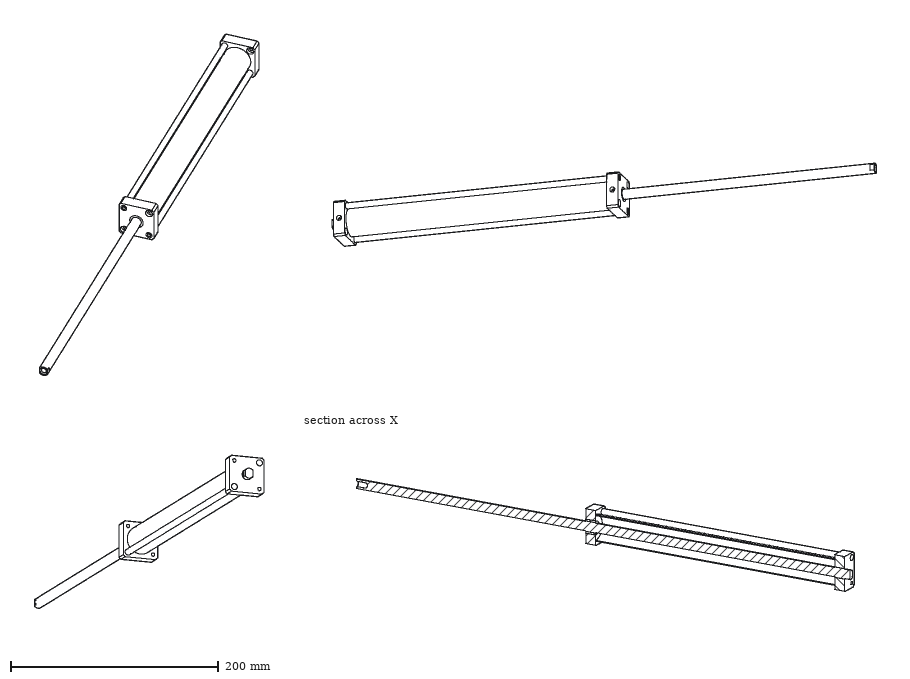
import cadquery as cq
import math


total_length = 551.0
rear_tip_y = total_length / 2
front_tip_y = -total_length / 2
rear_rod_overhang = 6.0
front_rod_overhang = 255.5

cap_side = 36.0
cap_length = 11.5
cap_corner_chamfer = 2.0
rear_cap_back_y = rear_tip_y - rear_rod_overhang
rear_cap_front_y = rear_cap_back_y - cap_length
front_cap_front_y = front_tip_y + front_rod_overhang
front_cap_back_y = front_cap_front_y + cap_length

bolt_edge_distance = 4.9
bolt_offset = cap_side / 2 - bolt_edge_distance
tie_rod_points = [(-bolt_offset, bolt_offset), (bolt_offset, -bolt_offset)]
mount_points = [(bolt_offset, bolt_offset), (-bolt_offset, -bolt_offset)]

mount_hole_diameter = 3.25
mount_counterbore_diameter = 7.0
mount_counterbore_depth = 3.5

port_diameter = 4.9
port_depth = 5.5
passage_diameter = 2.0
passage_depth = 9.5

tie_rod_diameter = 6.0
socket_diameter = 3.25
socket_depth = 3.0

tube_diameter = 27.5
tube_bore = 25.0

rod_radius = 5.0
rod_diameter = 2 * rod_radius
flat_offset = 4.1
flat_length = 4.0
thread_diameter = 4.9
thread_depth = 11.0
countersink_diameter = 7.0
countersink_depth = (countersink_diameter - thread_diameter) / 2
drill_point_angle = 118.0
drill_point_length = thread_diameter / 2 / math.tan(math.radians(drill_point_angle / 2))

bushing_diameter = 14.0

AXIS = [(0, 0)]


def bars(points, diameter, y_start, y_end):
    """Round bars along Y, from y_start back to y_end, one at each (x, z) point."""
    plane = cq.Plane(origin=(0, y_end, 0), xDir=(1, 0, 0), normal=(0, -1, 0))
    return cq.Workplane(plane).pushPoints(points).circle(diameter / 2).extrude(y_end - y_start)


def side_hole(diameter, depth, center_y):
    """Round bar reaching from the -X side of a cap inwards."""
    mouth = (-cap_side / 2, center_y, 0)
    return cq.Workplane("YZ", origin=mouth).circle(diameter / 2).extrude(depth)


def make_cap(front_y, back_y, shaft_hole_diameter):
    """Square end cap with shaft, tie rod and mounting holes and an air port."""
    center_y = (front_y + back_y) / 2
    cap = cq.Workplane().box(cap_side, cap_length, cap_side)
    cap = cap.edges("|Y").chamfer(cap_corner_chamfer)
    cap = cap.translate((0, center_y, 0))

    cap = cap.cut(bars(AXIS, shaft_hole_diameter, front_y, back_y))
    cap = cap.cut(bars(tie_rod_points, tie_rod_diameter, front_y, back_y))

    counterbore_end_y = front_y + mount_counterbore_depth
    cap = cap.cut(bars(mount_points, mount_hole_diameter, front_y, back_y))
    cap = cap.cut(bars(mount_points, mount_counterbore_diameter, front_y, counterbore_end_y))

    cap = cap.cut(side_hole(port_diameter, port_depth, center_y))
    return cap.cut(side_hole(passage_diameter, passage_depth, center_y))


def make_ring(outer_diameter, inner_diameter, y_start, y_end):
    """Round sleeve around the Y axis."""
    return bars(AXIS, outer_diameter, y_start, y_end).cut(bars(AXIS, inner_diameter, y_start, y_end))


def make_tie_rod(point):
    """Tie rod through both caps, with a blind socket in its front end."""
    rod = bars([point], tie_rod_diameter, front_cap_front_y, rear_cap_back_y)
    socket = bars([point], socket_diameter, front_cap_front_y, front_cap_front_y + socket_depth)
    return rod.cut(socket)


def make_rod_end_hole():
    """Countersunk blind hole with a drill point, as a cutting shape turned about the Y axis."""
    countersink_end_y = front_tip_y + countersink_depth
    bore_end_y = front_tip_y + thread_depth
    return (
        cq.Workplane("XY")
        .moveTo(0, front_tip_y)
        .lineTo(countersink_diameter / 2, front_tip_y)
        .lineTo(thread_diameter / 2, countersink_end_y)
        .lineTo(thread_diameter / 2, bore_end_y)
        .lineTo(0, bore_end_y + drill_point_length)
        .close()
        .revolve(360, (0, 0, 0), (0, 1, 0))
    )


def make_piston_rod():
    """Through rod with two wrench flats at each end and a tapped hole in the front end."""
    rod = bars(AXIS, rod_diameter, front_tip_y, rear_tip_y)
    flat_cutter = cq.Workplane().box(rod_diameter, flat_length, rod_diameter)
    flat_cutter_x = flat_offset + rod_diameter / 2
    flat_cutter_y = total_length / 2 - flat_length / 2
    for side in (-1, 1):
        for end in (-1, 1):
            rod = rod.cut(flat_cutter.translate((side * flat_cutter_x, end * flat_cutter_y, 0)))
    return rod.cut(make_rod_end_hole())


front_cap = make_cap(front_cap_front_y, front_cap_back_y, bushing_diameter)
rear_cap = make_cap(rear_cap_front_y, rear_cap_back_y, rod_diameter)
tube = make_ring(tube_diameter, tube_bore, front_cap_back_y, rear_cap_front_y)
bushing = make_ring(bushing_diameter, rod_diameter, front_cap_front_y, front_cap_back_y)
piston_rod = make_piston_rod()
tie_rods = [make_tie_rod(point) for point in tie_rod_points]

result = cq.Compound.makeCompound(
    [
        front_cap.val(),
        rear_cap.val(),
        tube.val(),
        bushing.val(),
        piston_rod.val(),
        *[tie_rod.val() for tie_rod in tie_rods],
    ]
)